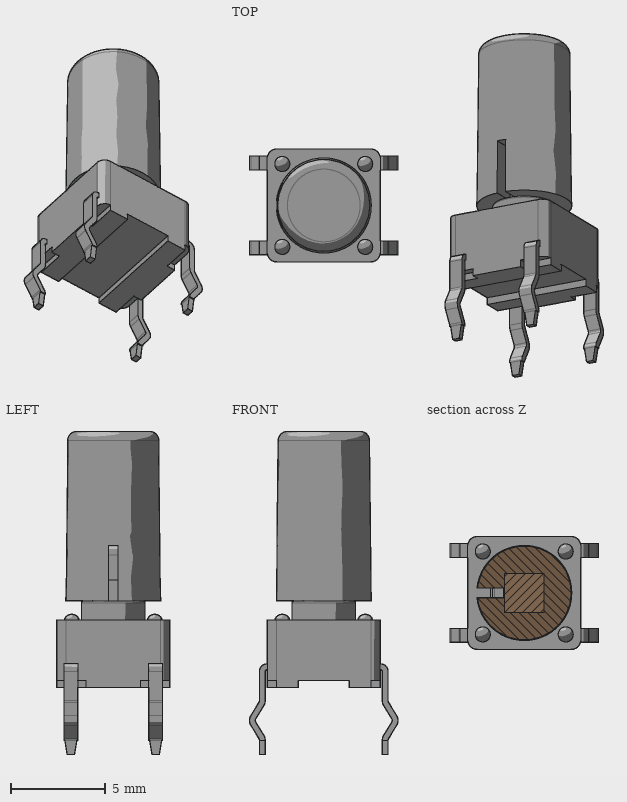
import cadquery as cq
import math

housing_side = 6.0
housing_height = 3.6
corner_radius = 0.5
foot_height = 0.38
channel_width = 2.7
notch_depth = 0.5
notch_spacing = 2.9

stud_diameter = 0.8
stud_height = 0.3
stud_offset = 2.2

stem_diameter = 3.38
stem_height = 1.0
clearance_diameter = 3.6
clearance_depth = 0.5
shoulder_radius = 0.1
tenon_base_width = 2.2
tenon_base_height = 1.1
tenon_width = 2.1
tenon_height = 2.95
tenon_top_radius = 0.5

cap_bottom_diameter = 5.05
cap_top_diameter = 4.85
cap_height = 9.0
cap_edge_radius = 0.5
slot_width = 0.5

pin_thickness = 0.32
pin_width = 0.75
pin_spacing = 4.5
pin_top = 1.27
pin_outer_x = 3.42
pin_bend_radius = 0.42
pin_root_depth = 0.5
pin_bottom = -3.55
kink_outer_x = 3.945
kink_z = -1.74
kink_radius = 0.5
pin_corner_radius = 0.2
kink_angle = math.radians(31.5)
tip_start_width = 0.65
tip_end_width = 0.4

diagonal = math.sqrt(0.5)
half_side = housing_side / 2
shoulder_z = housing_height + stem_height
kink_center_x = kink_outer_x - kink_radius
pin_inner_x = pin_outer_x - pin_thickness


def kink_point(radius, angle):
    """Point at an angle on an arc around the kink center."""
    return (kink_center_x + radius * math.cos(angle), kink_z + radius * math.sin(angle))


outer_tangent_x, outer_tangent_z = kink_point(kink_radius, kink_angle)
slope_length_z = (outer_tangent_x - pin_outer_x) / math.tan(kink_angle)
corner_tangent_length = pin_corner_radius * math.tan(kink_angle / 2)
corner_rise = outer_tangent_z - kink_z + slope_length_z + corner_tangent_length
corner_center_x = pin_outer_x + pin_corner_radius
inner_corner_radius = pin_corner_radius + pin_thickness
inner_kink_radius = kink_radius - pin_thickness
tip_start_z = kink_z - corner_rise


def corner_point(radius, angle, side):
    """Point on the bend above (side 1) or below (side -1) the kink."""
    height = corner_rise - radius * math.sin(angle)
    return (corner_center_x - radius * math.cos(angle), kink_z + side * height)


def make_clearance():
    """Ring-shaped gap that separates the stem from the top of the housing."""
    return (
        cq.Workplane("XY", origin=(0, 0, housing_height))
        .circle(clearance_diameter / 2)
        .circle(stem_diameter / 2)
        .extrude(-clearance_depth)
    )


def make_housing_block():
    """Rounded box with a channel and four corner notches in its underside."""
    block = (
        cq.Workplane("XY")
        .rect(housing_side, housing_side)
        .extrude(housing_height)
        .edges("|Z")
        .fillet(corner_radius)
    )
    channel = cq.Workplane("XY").rect(channel_width, housing_side).extrude(foot_height)
    block = block.cut(channel)
    notch_length = (housing_side - notch_spacing) / 2
    notch_x = half_side - notch_depth / 2
    notch_y = half_side - notch_length / 2
    notches = (
        cq.Workplane("XY")
        .rect(2 * notch_x, 2 * notch_y, forConstruction=True)
        .vertices()
        .rect(notch_depth, notch_length)
        .extrude(foot_height)
    )
    return block.cut(notches).cut(make_clearance())


def make_stud(x, y):
    """Spherical dome standing on the top face."""
    base_radius = stud_diameter / 2
    rise_x = base_radius * diagonal
    sphere_radius = (base_radius**2 + stud_height**2) / (2 * stud_height)
    center_z = stud_height - sphere_radius
    rise_z = center_z + math.sqrt(sphere_radius**2 - rise_x**2)
    return (
        cq.Workplane("XZ")
        .lineTo(base_radius, 0)
        .threePointArc((rise_x, rise_z), (0, stud_height))
        .close()
        .revolve(360, (0, 0, 0), (0, 1, 0))
        .translate((x, y, housing_height))
    )


def make_stem_base():
    """Round base whose flat shoulder carries the cap."""
    return (
        cq.Workplane("XY", origin=(0, 0, housing_height))
        .circle(stem_diameter / 2)
        .extrude(stem_height)
        .faces(">Z")
        .edges()
        .fillet(shoulder_radius)
    )


def make_tenon():
    """Stepped square tenon whose two top edges along Y are rounded."""
    lower = (
        cq.Workplane("XY", origin=(0, 0, shoulder_z))
        .rect(tenon_base_width, tenon_base_width)
        .extrude(tenon_base_height)
    )
    upper = (
        cq.Workplane("XY", origin=(0, 0, shoulder_z))
        .rect(tenon_width, tenon_width)
        .extrude(tenon_height)
        .faces(">Z")
        .edges("|Y")
        .fillet(tenon_top_radius)
    )
    return lower.union(upper)


def make_pin(y):
    """Pin on the +X side, centered at the given Y."""
    bend_x = pin_outer_x - pin_bend_radius
    bend_z = pin_top - pin_bend_radius
    inner_bend = pin_bend_radius - pin_thickness
    root_x = half_side - pin_root_depth
    strip = (
        cq.Workplane("XZ")
        .moveTo(root_x, pin_top)
        .lineTo(bend_x, pin_top)
        .threePointArc(
            (bend_x + pin_bend_radius * diagonal, bend_z + pin_bend_radius * diagonal),
            (pin_outer_x, bend_z),
        )
        .lineTo(*corner_point(pin_corner_radius, 0, 1))
        .threePointArc(
            corner_point(pin_corner_radius, kink_angle / 2, 1),
            corner_point(pin_corner_radius, kink_angle, 1),
        )
        .lineTo(*kink_point(kink_radius, kink_angle))
        .threePointArc(kink_point(kink_radius, 0), kink_point(kink_radius, -kink_angle))
        .lineTo(*corner_point(pin_corner_radius, kink_angle, -1))
        .threePointArc(
            corner_point(pin_corner_radius, kink_angle / 2, -1),
            corner_point(pin_corner_radius, 0, -1),
        )
        .lineTo(pin_inner_x, tip_start_z)
        .threePointArc(
            corner_point(inner_corner_radius, kink_angle / 2, -1),
            corner_point(inner_corner_radius, kink_angle, -1),
        )
        .lineTo(*kink_point(inner_kink_radius, -kink_angle))
        .threePointArc(kink_point(inner_kink_radius, 0), kink_point(inner_kink_radius, kink_angle))
        .lineTo(*corner_point(inner_corner_radius, kink_angle, 1))
        .threePointArc(
            corner_point(inner_corner_radius, kink_angle / 2, 1),
            corner_point(inner_corner_radius, 0, 1),
        )
        .lineTo(pin_inner_x, bend_z)
        .threePointArc(
            (bend_x + inner_bend * diagonal, bend_z + inner_bend * diagonal),
            (bend_x, bend_z + inner_bend),
        )
        .lineTo(root_x, bend_z + inner_bend)
        .close()
        .extrude(pin_width / 2, both=True)
    )
    tip = (
        cq.Workplane("YZ", origin=(pin_inner_x, 0, 0))
        .moveTo(-tip_start_width / 2, tip_start_z)
        .lineTo(tip_start_width / 2, tip_start_z)
        .lineTo(tip_end_width / 2, pin_bottom)
        .lineTo(-tip_end_width / 2, pin_bottom)
        .close()
        .extrude(pin_thickness)
    )
    return strip.union(tip).translate((0, y, 0))


def make_switch():
    """Housing with its studs, stem and four pins, as one solid."""
    switch = make_housing_block().union(make_stem_base()).union(make_tenon())
    for side in (-1, 1):
        for end in (-1, 1):
            switch = switch.union(make_stud(side * stud_offset, end * stud_offset))
        pin = make_pin(side * pin_spacing / 2)
        switch = switch.union(pin).union(pin.mirror("YZ"))
    return switch


def make_cap():
    """Tapered cap with a socket for the tenon and a slot on its -X side."""
    draft = math.degrees(math.atan((cap_bottom_diameter - cap_top_diameter) / 2 / cap_height))
    cap = (
        cq.Workplane("XY", origin=(0, 0, shoulder_z))
        .circle(cap_bottom_diameter / 2)
        .extrude(cap_height, taper=draft)
        .faces(">Z")
        .edges()
        .fillet(cap_edge_radius)
    )
    slot_depth = cap_bottom_diameter / 2
    slot = (
        cq.Workplane("XY", origin=(-slot_depth / 2, 0, shoulder_z))
        .rect(slot_depth, slot_width)
        .extrude(tenon_height)
    )
    return cap.cut(slot).cut(make_tenon())


switch = make_switch()
cap = make_cap()
result = cq.Compound.makeCompound([switch.val(), cap.val()])